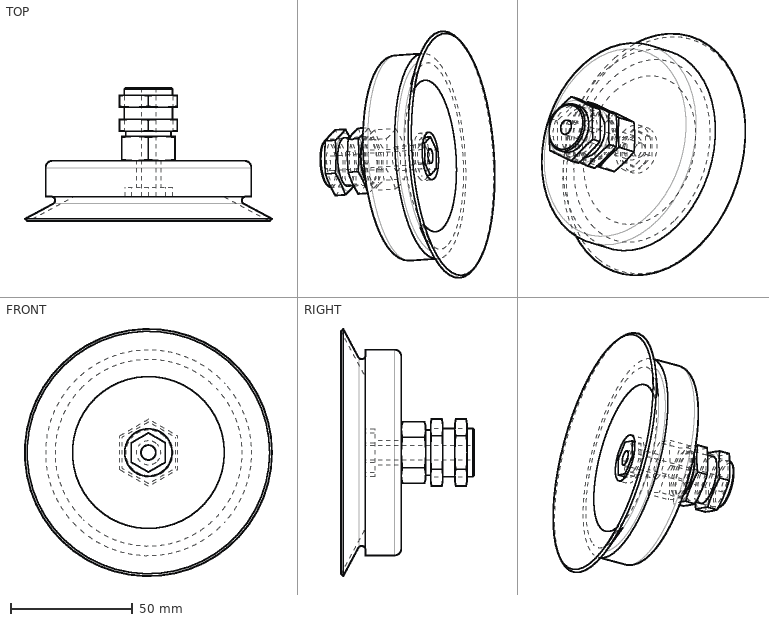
import cadquery as cq
import math

cup_diameter = 102
rim_bevel = 1.0
inner_floor_diameter = 62.6
inner_depth = 10.0
neck_diameter = 77.1
neck_front_diameter = 78.3
neck_front = 7.3
neck_waist = 8.6
neck_rear_diameter = 79.6
flange_front = 10.1
flange_diameter = 85.0
cup_rear = 25.0
flange_fillet = 3.0
recess_diameter = 19.6
recess_depth = 4.0

bore_diameter = 6.0
shank_diameter = 10.0
head_flats = 14.0
hex_flats = 22.0
hex_height = 10.0
relief_diameter = 18.8
stem_diameter = 20.0
stem_rear = 55.0
stem_chamfer = 0.6

nut_flats = 24.0
nut_height = 5.0
nut_gap = 5.0
first_nut_front = 37.0
nut_fronts = [first_nut_front, first_nut_front + nut_height + nut_gap]

hex_bevel_angle = 15
nut_bevel_angle = 10


def cylinder(diameter, front, rear):
    return cq.Workplane("XZ", origin=(0, front, 0)).circle(diameter / 2).extrude(front - rear)


def hex_prism(flats, front, rear):
    """Hexagonal prism along Y with flats facing +X and -X."""
    corner_diameter = flats / math.cos(math.pi / 6)
    return (
        cq.Workplane("XZ", origin=(0, front, 0))
        .transformed(rotate=(0, 0, 30))
        .polygon(6, corner_diameter)
        .extrude(front - rear)
    )


def beveled_hex(flats, front, rear, bevel_angle):
    """Hexagonal prism with conically turned corners at both ends."""
    face_radius = flats / 2
    corner_radius = face_radius / math.cos(math.pi / 6)
    bevel = (corner_radius - face_radius) * math.tan(math.radians(bevel_angle))
    turned_blank = (
        cq.Workplane("XY")
        .moveTo(0, front)
        .lineTo(face_radius, front)
        .lineTo(corner_radius, front + bevel)
        .lineTo(corner_radius, rear - bevel)
        .lineTo(face_radius, rear)
        .lineTo(0, rear)
        .close()
        .revolve(360, (0, 0, 0), (0, 1, 0))
    )
    return hex_prism(flats, front, rear).intersect(turned_blank)


def make_cup():
    rim_radius = cup_diameter / 2
    flange_radius = flange_diameter / 2
    cup = (
        cq.Workplane("XY")
        .moveTo(0, inner_depth)
        .lineTo(inner_floor_diameter / 2, inner_depth)
        .lineTo(rim_radius - rim_bevel, 0)
        .lineTo(rim_radius, rim_bevel)
        .lineTo(neck_front_diameter / 2, neck_front)
        .threePointArc((neck_diameter / 2, neck_waist), (neck_rear_diameter / 2, flange_front))
        .lineTo(flange_radius, flange_front)
        .lineTo(flange_radius, cup_rear)
        .lineTo(0, cup_rear)
        .close()
        .revolve(360, (0, 0, 0), (0, 1, 0))
    )
    cup = cup.faces(">Y").edges().fillet(flange_fillet)
    recess = cylinder(recess_diameter, inner_depth, inner_depth + recess_depth)
    shank_hole = cylinder(shank_diameter, inner_depth, cup_rear)
    return cup.cut(recess).cut(shank_hole)


def make_fitting():
    recess_floor = inner_depth + recess_depth
    hex_rear = cup_rear + hex_height
    head = hex_prism(head_flats, inner_depth, recess_floor)
    shank = cylinder(shank_diameter, recess_floor, cup_rear)
    hexagon = beveled_hex(hex_flats, cup_rear, hex_rear, hex_bevel_angle)
    relief = cylinder(relief_diameter, hex_rear, first_nut_front)
    stem = cylinder(stem_diameter, first_nut_front, stem_rear)
    stem = stem.faces(">Y").edges().chamfer(stem_chamfer)
    bore = cylinder(bore_diameter, inner_depth, stem_rear)
    return head.union(shank).union(hexagon).union(relief).union(stem).cut(bore)


def make_nut(front):
    rear = front + nut_height
    return beveled_hex(nut_flats, front, rear, nut_bevel_angle).cut(cylinder(stem_diameter, front, rear))


cup = make_cup()
fitting = make_fitting()
nuts = [make_nut(front) for front in nut_fronts]

result = cq.Compound.makeCompound([cup.val(), fitting.val(), *[nut.val() for nut in nuts]])